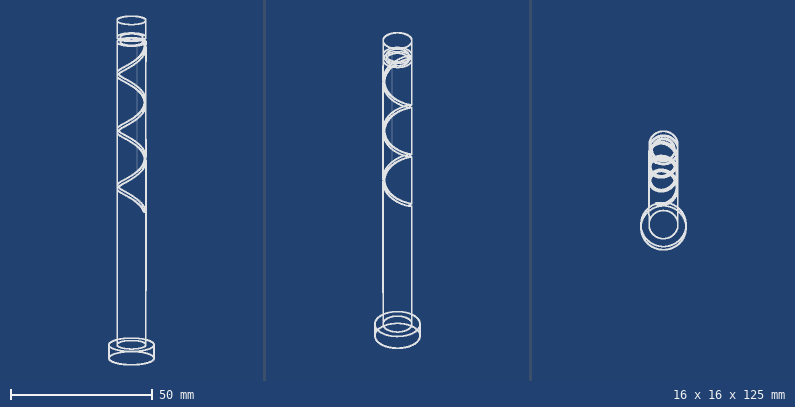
import cadquery as cq

total_length = 125.0
head_diameter = 16.0
head_height = 5.0
shaft_diameter = 10.2

tip_length = 6.2
ring_groove_width = 1.8
ring_groove_diameter = 8.0

helix_pitch = 20.9
helix_turns = 3
helix_start_z = 54.1
helix_start_angle = 90.0
helix_groove_radius = 0.6

shaft_radius = shaft_diameter / 2


def make_pin():
    """Stepped cylinder: head at the bottom, plain shaft up to the tip."""
    head = cq.Workplane("XY").circle(head_diameter / 2).extrude(head_height)
    shaft = cq.Workplane("XY").circle(shaft_radius).extrude(total_length)
    return head.union(shaft)


def make_ring_groove():
    """Ring that cuts the neck just below the tip."""
    groove_bottom = total_length - tip_length - ring_groove_width
    return (
        cq.Workplane("XY", origin=(0, 0, groove_bottom))
        .circle(head_diameter / 2)
        .circle(ring_groove_diameter / 2)
        .extrude(ring_groove_width)
    )


def make_helical_groove():
    """Round bar wound around the shaft, centred on its surface."""
    path = cq.Wire.makeHelix(helix_pitch, helix_pitch * helix_turns, shaft_radius)
    bar = (
        cq.Workplane("XZ", origin=(shaft_radius, 0, 0))
        .circle(helix_groove_radius)
        .sweep(cq.Workplane(path), isFrenet=True)
    )
    return bar.rotate((0, 0, 0), (0, 0, 1), helix_start_angle).translate((0, 0, helix_start_z))


result = make_pin().cut(make_helical_groove()).cut(make_ring_groove())